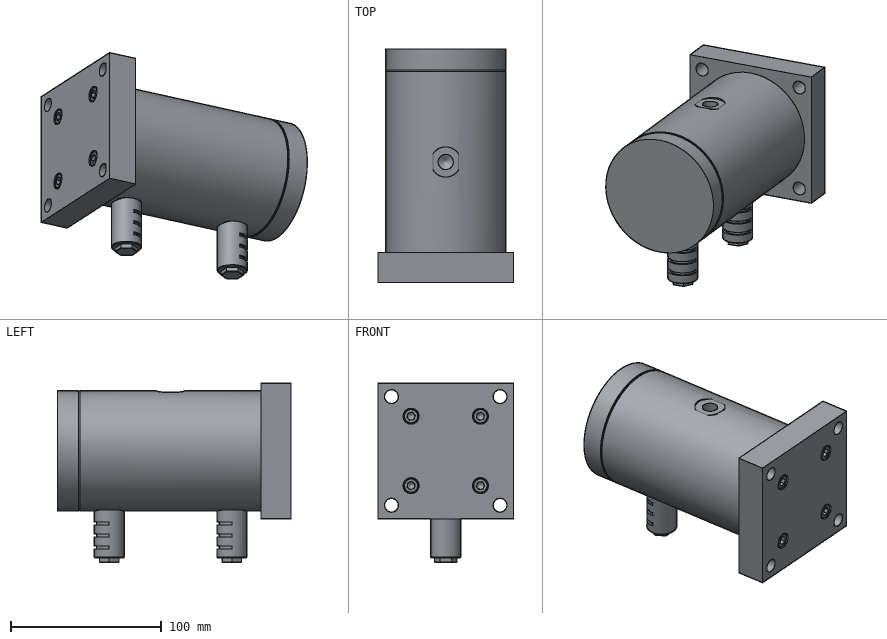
import cadquery as cq
import math

plate_side = 90.0
plate_thickness = 20.0
mount_hole_diameter = 9.0
mount_hole_spacing = 72.0

overall_length = 155.0
barrel_diameter = 80.0
barrel_radius = barrel_diameter / 2
cap_length = 14.0
cap_groove_width = 1.0
cap_groove_depth = 0.5

screw_spacing = 46.0
screw_recess_diameter = 10.5
screw_recess_depth = 6.2
screw_head_diameter = 9.8
screw_head_chamfer = 0.5
screw_head_sink = 0.5
socket_across_flats = 5.0
socket_depth = 3.0
socket_cone_depth = 1.4
socket_angles = {(-1, 1): 10, (1, 1): 20, (-1, -1): 25, (1, -1): 5}

seat_diameter = 20.0
seat_depth = 1.0
seat_height = barrel_radius - seat_depth
port_y = 80.0
port_diameter = 10.0
port_depth = 12.0
drill_point_angle = 118

silencer_spacing = 81.4
silencer_rows = [port_y - silencer_spacing / 2, port_y + silencer_spacing / 2]
silencer_diameter = seat_diameter
silencer_radius = silencer_diameter / 2
silencer_length = 32.0
silencer_chamfer = 0.6
slot_count = 3
slot_pitch = silencer_length / (slot_count + 1)
slot_height = 2.0
slot_depth = 1.5
nut_across_flats = 13.0
nut_height = 3.0
nut_chamfer = 0.3


def hexagon_diameter(across_flats):
    """Corner-to-corner size of a hexagon."""
    return across_flats / math.cos(math.radians(30))


def cylinder_y(diameter, y_start, length, x=0.0, z=0.0):
    """Round bar running along +Y from y_start."""
    return cq.Workplane(cq.Solid.makeCylinder(
        diameter / 2, length, cq.Vector(x, y_start, z), cq.Vector(0, 1, 0)))


def corners(spacing):
    """Sign pair, x and z of each corner of a square pattern about the axis."""
    return [((i, k), i * spacing / 2, k * spacing / 2) for i in (-1, 1) for k in (-1, 1)]


def barrel_with_plate():
    plate = cq.Workplane("XY").box(plate_side, plate_thickness, plate_side, centered=(True, False, True))
    barrel = cylinder_y(barrel_diameter, plate_thickness, overall_length - plate_thickness)
    groove_start = overall_length - cap_length - cap_groove_width
    groove = cylinder_y(barrel_diameter, groove_start, cap_groove_width).cut(
        cylinder_y(barrel_diameter - 2 * cap_groove_depth, groove_start, cap_groove_width))
    return plate.union(barrel).cut(groove)


def screw_head(x, z, socket_angle):
    """Chamfered head with a hexagon socket that ends in a cone."""
    head = cylinder_y(screw_head_diameter, screw_head_sink, screw_recess_depth - screw_head_sink, x, z)
    head = head.faces("<Y").chamfer(screw_head_chamfer)
    socket_plane = cq.Plane(origin=(x, screw_head_sink, z), xDir=(1, 0, 0), normal=(0, -1, 0))
    socket = (
        cq.Workplane(socket_plane)
        .transformed(rotate=(0, 0, socket_angle))
        .polygon(6, hexagon_diameter(socket_across_flats))
        .extrude(-socket_depth)
    )
    cone = cq.Workplane(cq.Solid.makeCone(
        socket_across_flats / 2, 0, socket_cone_depth,
        cq.Vector(x, screw_head_sink + socket_depth, z), cq.Vector(0, 1, 0)))
    return head.cut(socket).cut(cone)


def air_port():
    """Blind drilled hole going down from the top seat."""
    radius = port_diameter / 2
    point_depth = radius / math.tan(math.radians(drill_point_angle / 2))
    return (
        cq.Workplane("XZ", origin=(0, port_y, seat_height))
        .moveTo(0, 0)
        .lineTo(radius, 0)
        .lineTo(radius, -port_depth)
        .lineTo(0, -port_depth - point_depth)
        .close()
        .revolve(360, (0, 0, 0), (0, 1, 0))
    )


def make_housing():
    housing = barrel_with_plate()
    for _, x, z in corners(mount_hole_spacing):
        housing = housing.cut(cylinder_y(mount_hole_diameter, 0, plate_thickness, x, z))
    for corner, x, z in corners(screw_spacing):
        housing = housing.cut(cylinder_y(screw_recess_diameter, 0, screw_recess_depth, x, z))
        housing = housing.union(screw_head(x, z, socket_angles[corner]))

    seat = cq.Workplane("XY").circle(seat_diameter / 2).extrude(barrel_radius)
    housing = housing.cut(seat.translate((0, port_y, seat_height)))
    for y in silencer_rows:
        housing = housing.cut(seat.translate((0, y, -seat_height - barrel_radius)))
    return housing.cut(air_port())


def silencer_slot(z_top):
    """Half ring that opens a slot on the +Y half of the silencer."""
    return (
        cq.Workplane("XY", origin=(0, 0, z_top))
        .circle(silencer_radius)
        .circle(silencer_radius - slot_depth)
        .extrude(-slot_height)
        .intersect(
            cq.Workplane("XY", origin=(0, 0, z_top))
            .rect(silencer_diameter, silencer_radius)
            .extrude(-slot_height)
            .translate((0, silencer_radius / 2, 0))
        )
    )


def make_silencer(y):
    body = cq.Workplane("XY").circle(silencer_radius).extrude(-silencer_length)
    body = body.faces("<Z").chamfer(silencer_chamfer)
    for index in range(slot_count):
        body = body.cut(silencer_slot(-slot_pitch * (index + 1)))

    nut = cq.Workplane("XY").polygon(6, hexagon_diameter(nut_across_flats)).extrude(-nut_height)
    nut = nut.faces("<Z").chamfer(nut_chamfer)
    body = body.union(nut.translate((0, 0, -silencer_length)))
    return body.translate((0, y, -seat_height))


housing = make_housing()
silencers = [make_silencer(y) for y in silencer_rows]

result = cq.Compound.makeCompound([housing.val(), *[silencer.val() for silencer in silencers]])